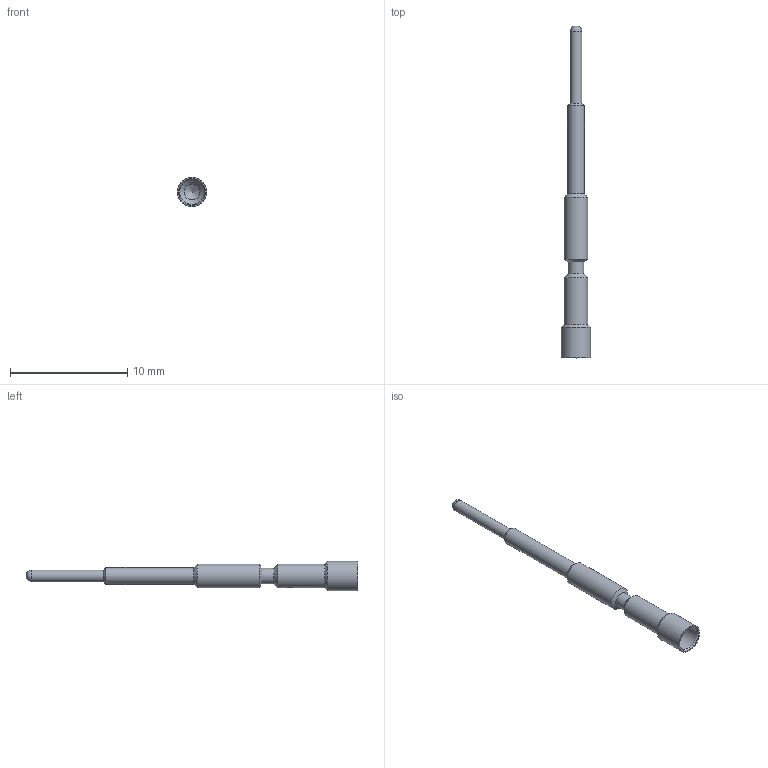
import cadquery as cq
import math

total_length = 28.3

flange_radius = 1.25
barrel_radius = 1.0
neck_radius = 0.65
shank_radius = 0.725
pin_radius = 0.5
tip_fillet = 0.45

flange_end = 2.6
cup_barrel_end = 6.85
neck_end = 8.2
body_start = 8.4
body_end = 13.7
shank_start = 14.0
shank_end = 21.5
pin_start = 21.7

lip_radius = 1.15
lip_depth = 0.15
mouth_radius = 1.05
mouth_depth = 2.4
bore_radius = 0.67
bore_depth = 6.3
drill_point_angle = 118

inspection_diameter = 0.6
inspection_position = 5.8


def revolve_about_y(profile):
    return profile.close().revolve(360, (0, 0, 0), (0, 1, 0))


def turned_body():
    flange_bevel = flange_radius - barrel_radius
    neck_bevel = barrel_radius - neck_radius
    outline = [
        (0, 0),
        (flange_radius, 0),
        (flange_radius, flange_end),
        (barrel_radius, flange_end + flange_bevel),
        (barrel_radius, cup_barrel_end),
        (neck_radius, cup_barrel_end + neck_bevel),
        (neck_radius, neck_end),
        (barrel_radius, body_start),
        (barrel_radius, body_end),
        (shank_radius, shank_start),
        (shank_radius, shank_end),
        (pin_radius, pin_start),
        (pin_radius, total_length),
        (0, total_length),
    ]
    body = revolve_about_y(cq.Workplane("XY").polyline(outline))
    return body.faces(">Y").edges().fillet(tip_fillet)


def cup_cavity():
    step_length = mouth_radius - bore_radius
    point_length = bore_radius / math.tan(math.radians(drill_point_angle / 2))
    outline = [
        (0, 0),
        (lip_radius, 0),
        (mouth_radius, lip_depth),
        (mouth_radius, mouth_depth),
        (bore_radius, mouth_depth + step_length),
        (bore_radius, bore_depth),
        (0, bore_depth + point_length),
    ]
    return revolve_about_y(cq.Workplane("XY").polyline(outline))


def inspection_hole():
    return (
        cq.Workplane("XY")
        .center(0, inspection_position)
        .circle(inspection_diameter / 2)
        .extrude(-flange_radius)
    )


result = turned_body().cut(cup_cavity()).cut(inspection_hole())